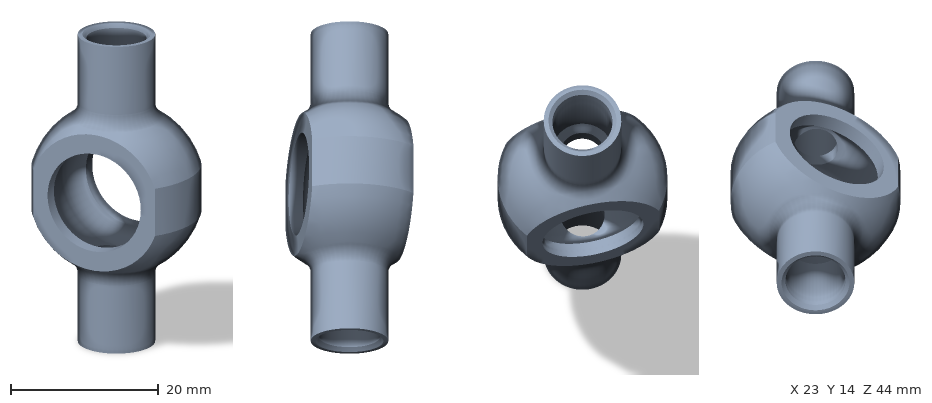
import cadquery as cq
import math

length = 44.0
half_length = length / 2
waist_diameter = 23.0
waist_half_height = 3.4
sphere_radius = math.hypot(waist_diameter / 2, waist_half_height)
thickness = 14.0
half_thickness = thickness / 2

tube_diameter = 10.5
root_fillet = 2.5
tube_bore_diameter = 8.15
tube_bore_depth = 10.0
mouth_chamfer = 0.55
drill_tip_angle = 118.0
port_diameter = 6.0

cross_bore_diameter = 14.0
end_land = 2.0
chamber_fillet = 2.5
chamber_diameter = cross_bore_diameter + 2 * chamber_fillet


def make_body():
    """Revolve half of the outer outline, then mirror it below the XY plane."""
    waist_radius = waist_diameter / 2
    tube_radius = tube_diameter / 2

    fillet_x = tube_radius + root_fillet
    center_distance = sphere_radius + root_fillet
    fillet_z = math.sqrt(center_distance**2 - fillet_x**2)
    touch_angle = math.atan2(fillet_z, fillet_x)
    waist_angle = math.atan2(waist_half_height, waist_radius)

    def on_sphere(angle):
        return (sphere_radius * math.cos(angle), sphere_radius * math.sin(angle))

    fillet_mid_angle = math.pi + touch_angle / 2
    fillet_mid = (
        fillet_x + root_fillet * math.cos(fillet_mid_angle),
        fillet_z + root_fillet * math.sin(fillet_mid_angle),
    )
    upper_half = (
        cq.Workplane("XZ")
        .lineTo(waist_radius, 0)
        .lineTo(waist_radius, waist_half_height)
        .threePointArc(on_sphere((waist_angle + touch_angle) / 2), on_sphere(touch_angle))
        .threePointArc(fillet_mid, (tube_radius, fillet_z))
        .lineTo(tube_radius, half_length)
        .lineTo(0, half_length)
        .close()
        .revolve(360, (0, 0, 0), (0, 1, 0))
    )
    body = upper_half.union(upper_half.mirror("XY"))
    flats = cq.Workplane("XY").box(waist_diameter, thickness, length)
    return body.intersect(flats)


def make_tube_passage():
    """Stepped passage from the center out through the upper tube."""
    port_radius = port_diameter / 2
    bore_radius = tube_bore_diameter / 2
    bore_bottom = half_length - tube_bore_depth
    tip_height = (bore_radius - port_radius) / math.tan(math.radians(drill_tip_angle / 2))
    return (
        cq.Workplane("XZ")
        .lineTo(port_radius, 0)
        .lineTo(port_radius, bore_bottom - tip_height)
        .lineTo(bore_radius, bore_bottom)
        .lineTo(bore_radius, half_length - mouth_chamfer)
        .lineTo(bore_radius + mouth_chamfer, half_length)
        .lineTo(0, half_length)
        .close()
        .revolve(360, (0, 0, 0), (0, 1, 0))
    )


def make_cross_bore():
    """Bore along Y that widens into a chamber with fully rounded end corners."""
    bore_radius = cross_bore_diameter / 2
    chamber_radius = chamber_diameter / 2
    land_y = half_thickness - end_land
    chamber_y = land_y - chamber_fillet
    arc_reach = chamber_fillet * math.sin(math.radians(45))
    arc_mid_x = bore_radius + arc_reach
    arc_mid_y = chamber_y + arc_reach
    return (
        cq.Workplane("XY")
        .moveTo(0, -half_thickness)
        .lineTo(bore_radius, -half_thickness)
        .lineTo(bore_radius, -land_y)
        .threePointArc((arc_mid_x, -arc_mid_y), (chamber_radius, -chamber_y))
        .lineTo(chamber_radius, chamber_y)
        .threePointArc((arc_mid_x, arc_mid_y), (bore_radius, land_y))
        .lineTo(bore_radius, half_thickness)
        .lineTo(0, half_thickness)
        .close()
        .revolve(360, (0, 0, 0), (0, 1, 0))
    )


passage = make_tube_passage()
result = make_body().cut(passage).cut(passage.mirror("XY")).cut(make_cross_bore())